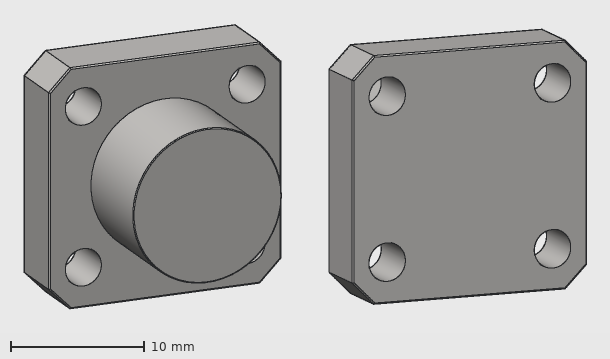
import cadquery as cq

flange_side = 19.05
flange_thickness = 4.8
corner_cut = 1.75
flange_edge_chamfer = 0.11

overall_length = 12.7
boss_diameter = 12.2
boss_edge_chamfer = 0.08

hole_diameter = 2.95
hole_spacing_y = 13.43
hole_spacing_z = 12.7


def make_flange():
    """Plate with cut corners and lightly chamfered face edges."""
    plate = cq.Workplane("YZ").rect(flange_side, flange_side).extrude(flange_thickness)
    plate = plate.edges("|X").chamfer(corner_cut)
    return plate.faces("<X or >X").edges().chamfer(flange_edge_chamfer)


def make_boss():
    """Solid cylinder with a chamfered free end."""
    boss = cq.Workplane("YZ").circle(boss_diameter / 2).extrude(overall_length)
    return boss.faces(">X").edges().chamfer(boss_edge_chamfer)


def make_holes():
    """Four cylinders that pass through the flange only."""
    return (
        cq.Workplane("YZ")
        .rect(hole_spacing_y, hole_spacing_z, forConstruction=True)
        .vertices()
        .circle(hole_diameter / 2)
        .extrude(flange_thickness)
    )


result = make_flange().union(make_boss()).cut(make_holes())